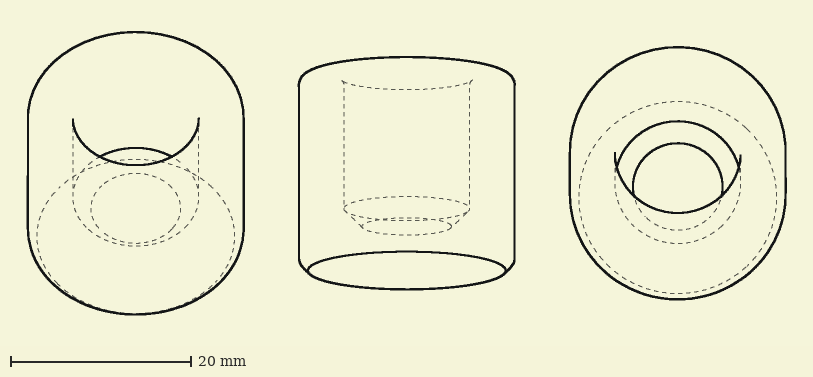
import cadquery as cq

outer_diameter = 24.0
height = 22.0
bore_diameter = 14.0
floor_thickness = 5.0
edge_size = 1.0
bore_floor_bevel = 2 * edge_size

outer_radius = outer_diameter / 2
bore_radius = bore_diameter / 2
bore_depth = height - floor_thickness
selection_margin = edge_size / 2


def make_body():
    """Cylinder with a rounded top rim and a chamfered base blended into the side."""
    body = cq.Workplane("XY").circle(outer_radius).extrude(height)
    body = body.faces(">Z").edges().fillet(edge_size)
    body = body.faces("<Z").edges().chamfer(edge_size)
    chamfer_top_edge = cq.selectors.BoxSelector(
        (-outer_diameter, -outer_diameter, edge_size - selection_margin),
        (outer_diameter, outer_diameter, edge_size + selection_margin),
        boundingbox=True,
    )
    return body.edges(chamfer_top_edge).fillet(edge_size)


def make_bore():
    """Blind bore tool with a 45 degree bevel around its flat floor."""
    bore = cq.Workplane("XY").workplane(offset=floor_thickness)
    bore = bore.circle(bore_radius).extrude(bore_depth)
    return bore.faces("<Z").edges().chamfer(bore_floor_bevel)


def round_bore_mouth(part):
    """Round the inner edge of the flat top ring."""
    mouth_edge = cq.selectors.BoxSelector(
        (-bore_diameter, -bore_diameter, height - selection_margin),
        (bore_diameter, bore_diameter, height + selection_margin),
        boundingbox=True,
    )
    return part.edges(mouth_edge).edges(cq.selectors.RadiusNthSelector(0)).fillet(edge_size)


result = round_bore_mouth(make_body().cut(make_bore()))